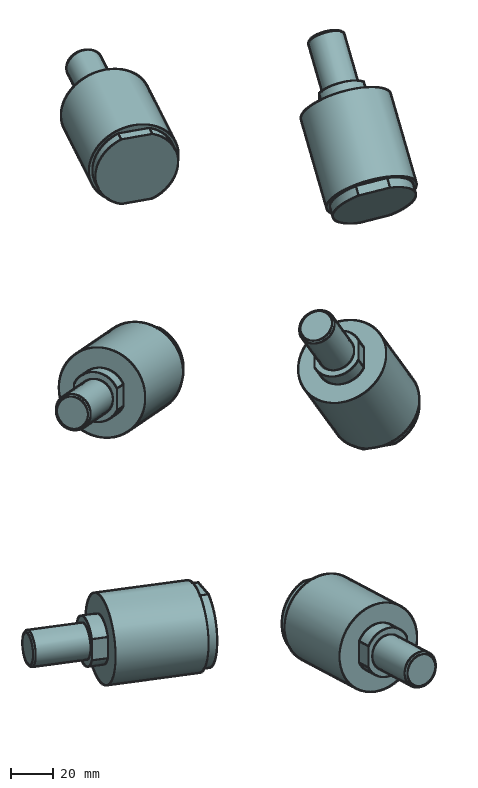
import cadquery as cq

total_length = 87.9
housing_diameter = 44.4

rod_diameter = 17.8
rod_length = 28.4
rod_chamfer = 1.0
collar_diameter = 24.5
collar_length = 8.0
collar_across_flats = 22.0

cap_diameter = 41.0
cap_length = 5.0
cap_across_flats = 38.0

collar_start = rod_length
housing_start = collar_start + collar_length
cap_start = total_length - cap_length
housing_length = cap_start - housing_start


def cylinder(start_x, length, diameter):
    """Cylinder on the X axis, running toward +X from start_x."""
    return cq.Workplane("YZ", origin=(start_x, 0, 0)).circle(diameter / 2).extrude(length)


def flatted_disc(start_x, length, diameter, width_y, width_z):
    """Disc on the X axis, trimmed to the given widths in Y and Z."""
    envelope = cq.Workplane("YZ", origin=(start_x, 0, 0)).rect(width_y, width_z).extrude(length)
    return cylinder(start_x, length, diameter).intersect(envelope)


def make_stud():
    rod = cylinder(0, rod_length, rod_diameter).faces("<X").chamfer(rod_chamfer)
    collar = flatted_disc(
        collar_start, collar_length, collar_diameter, collar_across_flats, collar_diameter
    )
    return rod.union(collar)


def make_housing():
    return cylinder(housing_start, housing_length, housing_diameter)


def make_end_cap():
    return flatted_disc(cap_start, cap_length, cap_diameter, cap_diameter, cap_across_flats)


stud = make_stud()
housing = make_housing()
end_cap = make_end_cap()

result = cq.Compound.makeCompound([stud.val(), housing.val(), end_cap.val()])